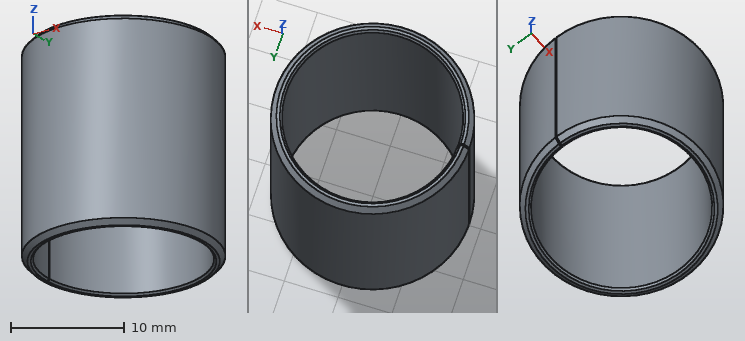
import cadquery as cq

length = 20
outer_diameter = 18
wall = 1
outer_chamfer = 0.5
inner_chamfer = 0.2
split_angle = 1

outer_radius = outer_diameter / 2
inner_radius = outer_radius - wall
half_length = length / 2


def make_split_sleeve():
    """Sweep the chamfered wall section from -X round to a narrow gap on the +Y side of its start."""
    section = [
        (-inner_radius, -half_length + inner_chamfer),
        (-inner_radius - inner_chamfer, -half_length),
        (-outer_radius + outer_chamfer, -half_length),
        (-outer_radius, -half_length + outer_chamfer),
        (-outer_radius, half_length - outer_chamfer),
        (-outer_radius + outer_chamfer, half_length),
        (-inner_radius - inner_chamfer, half_length),
        (-inner_radius, half_length - inner_chamfer),
    ]
    profile = cq.Workplane("XZ").polyline(section).close()
    return profile.revolve(360 - split_angle, (0, 0, 0), (0, 1, 0))


result = make_split_sleeve()